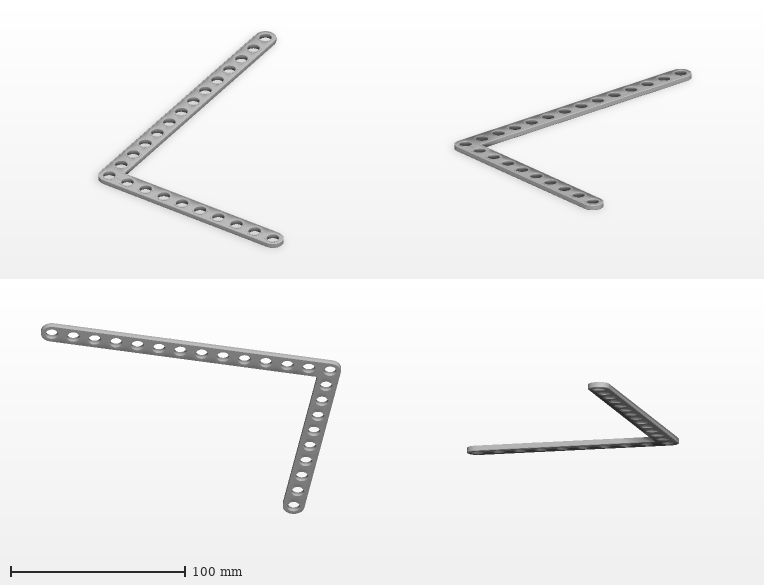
import cadquery as cq

LENGTH = 175.0
LONG_HOLES = 14
SHORT_HOLES = 10
THICKNESS = 3.2
HOLE_DIAMETER = 7.0
EDGE_CHAMFER = 0.3
RING_DIAMETER = 9.3
RIM_WIDTH = 1.0
RIB_WIDTH = 0.7
RECESS_DEPTH = 0.2

PITCH = LENGTH / LONG_HOLES


def leg(hole_count, angle, inset, height):
    """Round-ended bar along one leg, its outline moved inwards by inset."""
    span = (hole_count - 1) * PITCH
    width = PITCH - 2 * inset
    return (
        cq.Workplane("XY")
        .transformed(rotate=(0, 0, angle))
        .center(span / 2, 0)
        .slot2D(span + width, width)
        .extrude(height)
    )


def angle_plate(inset, height):
    """Both legs joined at the corner hole, which lies on the Z axis."""
    short_leg = leg(SHORT_HOLES, 0, inset, height)
    long_leg = leg(LONG_HOLES, 90, inset, height)
    return short_leg.union(long_leg).clean()


def hole_centres():
    """Corner hole, then the other holes of the short and the long leg."""
    along_x = [(i * PITCH, 0) for i in range(SHORT_HOLES)]
    along_y = [(0, i * PITCH) for i in range(1, LONG_HOLES)]
    return along_x + along_y


def cylinders(diameter, height):
    """One upright cylinder at every hole position."""
    return cq.Workplane("XY").pushPoints(hole_centres()).circle(diameter / 2).extrude(height)


def top_recess():
    """Shallow recess inside the rim, leaving the rings and the corner rib standing."""
    rib = (
        cq.Workplane("XY")
        .center(PITCH / 2, 0)
        .rect(PITCH, RIB_WIDTH)
        .extrude(RECESS_DEPTH)
    )
    recess = angle_plate(RIM_WIDTH, RECESS_DEPTH)
    recess = recess.cut(cylinders(RING_DIAMETER, RECESS_DEPTH)).cut(rib)
    return recess.translate((0, 0, THICKNESS - RECESS_DEPTH))


plate = angle_plate(0, THICKNESS).cut(cylinders(HOLE_DIAMETER, THICKNESS))
plate = plate.faces("<Z or >Z").edges().chamfer(EDGE_CHAMFER)
result = plate.cut(top_recess())